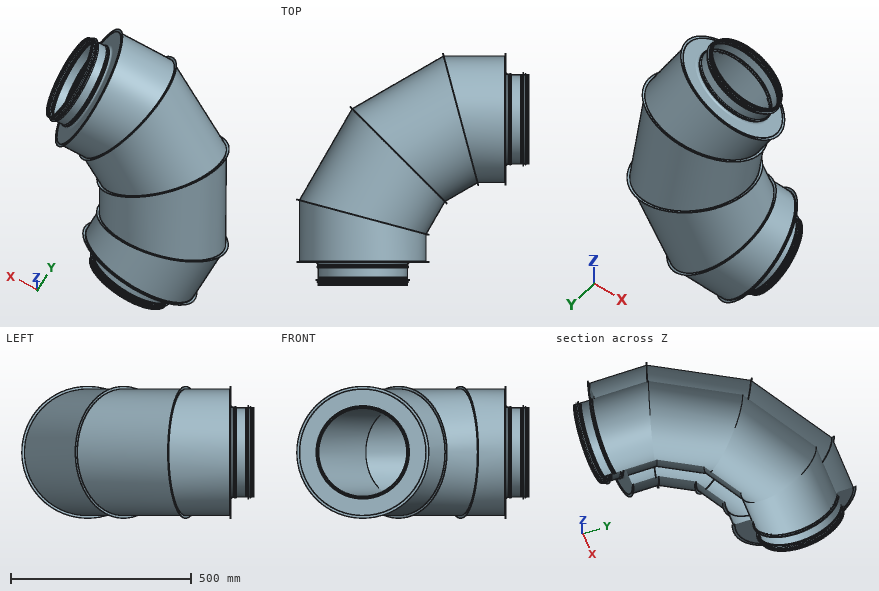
import cadquery as cq
import math


bend_radius = 370.0
joint_angles = (15, 45, 75)
outer_size = 642.0
sheet = 0.5

rim_diameter = 365.0
shell_bore = 350.0
shell_diameter = shell_bore + 2 * sheet
rim_thickness = 2.0

duct_diameter = 248.0
duct_bore = duct_diameter - 2 * sheet

leg_end = outer_size - rim_diameter / 2 - bend_radius
spigot_length = 63.5
shell_end = leg_end - spigot_length

bead_diameter = 253.5
bead_center = 51.5
bead_half_width = 4.0
bead_crown_half_width = 1.0
spigot_start = leg_end - bead_center - bead_half_width
groove_diameter = 244.0
groove_bore = groove_diameter - 2 * sheet
groove_start = 19.0
groove_end = 3.0
groove_taper_start = 23.0

cap_depth = 4.0
collar_foot_diameter = 268.0
collar_neck_diameter = duct_diameter + 2 * sheet
collar_length = 6.5

gasket_start = 17.0
gasket_end = 6.5
gasket_body_diameter = duct_diameter
main_lip_diameter = 258.5
main_lip_width = 2.5
second_lip_diameter = 253.5
second_lip_position = 9.5
second_lip_rise_width = 0.5


def elbow(diameter, end):
    """Solid mitred round bar along the bend, with both legs reaching `end` past the bend centre."""
    corner_radius = bend_radius / math.cos(math.radians(joint_angles[0]))
    corners = [
        (-corner_radius * math.cos(math.radians(a)), corner_radius * math.sin(math.radians(a)))
        for a in joint_angles
    ]
    path = cq.Workplane("XY").polyline([(-bend_radius, -end), *corners, (end, bend_radius)])
    start = cq.Workplane("XZ", origin=(-bend_radius, -end, 0))
    return start.circle(diameter / 2).sweep(path, transition="right")


def on_both_legs(make):
    """Place a body of revolution, made along +X with the bend centre at X = 0, on each leg."""
    x_leg = make().translate((0, bend_radius, 0))
    y_leg = make().rotate((0, 0, 0), (0, 0, 1), -90).translate((-bend_radius, 0, 0))
    return [x_leg, y_leg]


def revolve_on_x(profile):
    """Close a half profile drawn above the X axis and turn it about that axis."""
    return profile.close().revolve(360, (0, 0, 0), (1, 0, 0))


def flange():
    """Outward rim at the end of the shell."""
    return revolve_on_x(
        cq.Workplane("XY")
        .moveTo(shell_end - rim_thickness, shell_bore / 2)
        .lineTo(shell_end, shell_bore / 2)
        .lineTo(shell_end, rim_diameter / 2)
        .lineTo(shell_end - rim_thickness, rim_diameter / 2)
    )


def joint_ribs():
    """Thin raised rims lying in the mitre planes."""
    slab_size = 2 * rim_diameter
    rim_bar = elbow(rim_diameter, shell_end)
    ribs = []
    for angle in joint_angles:
        slab = (
            cq.Workplane("XY")
            .box(slab_size, rim_thickness, slab_size)
            .translate((-bend_radius, 0, 0))
            .rotate((0, 0, 0), (0, 0, 1), -angle)
        )
        ribs.append(rim_bar.intersect(slab))
    return ribs


def make_shell():
    """Segmented outer casing with a rib at each joint and a flange at each end."""
    body = elbow(shell_diameter, shell_end)
    for rim in joint_ribs() + on_both_legs(flange):
        body = body.union(rim)
    return body.cut(elbow(shell_bore, shell_end))


def bead(profile, crown_diameter, foot_diameter, direction):
    """Raised bead in the wall; direction is +1 toward the spigot end, -1 away from it."""
    center = leg_end - bead_center
    foot = direction * bead_half_width
    crown = direction * bead_crown_half_width
    return (
        profile.lineTo(center - foot, foot_diameter / 2)
        .lineTo(center - crown, crown_diameter / 2)
        .lineTo(center + crown, crown_diameter / 2)
        .lineTo(center + foot, foot_diameter / 2)
    )


def spigot():
    """Duct end with a hollow bead and a rolled gasket groove."""
    profile = cq.Workplane("XY").moveTo(spigot_start, duct_bore / 2)
    profile = bead(profile, bead_diameter, duct_diameter, 1)
    profile = (
        profile.lineTo(leg_end - groove_start, duct_diameter / 2)
        .lineTo(leg_end - groove_start, groove_diameter / 2)
        .lineTo(leg_end - groove_end, groove_diameter / 2)
        .lineTo(leg_end - groove_end, duct_diameter / 2)
        .lineTo(leg_end, duct_diameter / 2)
        .lineTo(leg_end, groove_bore / 2)
        .lineTo(leg_end - groove_start - sheet, groove_bore / 2)
        .lineTo(leg_end - groove_taper_start, duct_bore / 2)
    )
    profile = bead(profile, bead_diameter - 2 * sheet, duct_bore, -1)
    return revolve_on_x(profile)


def make_duct():
    """Segmented inner pipe that runs through both caps and ends in two spigots."""
    body = elbow(duct_diameter, spigot_start).cut(elbow(duct_bore, spigot_start))
    for end in on_both_legs(spigot):
        body = body.union(end)
    return body


def make_cap():
    """Sheet metal pan in the shell end: outer sleeve, flat annulus and a collar flared down to the duct."""
    sleeve = shell_bore / 2
    foot = collar_foot_diameter / 2
    neck = collar_neck_diameter / 2
    collar_end = shell_end + collar_length
    arc_reach = math.sqrt(0.5)
    middle_x = collar_end - collar_length * arc_reach
    middle_y = foot - (foot - neck) * arc_reach
    return revolve_on_x(
        cq.Workplane("XY")
        .moveTo(shell_end - cap_depth, sleeve - sheet)
        .lineTo(shell_end - cap_depth, sleeve)
        .lineTo(shell_end, sleeve)
        .lineTo(shell_end, foot)
        .threePointArc((middle_x, middle_y), (collar_end, neck))
        .lineTo(collar_end, neck - sheet)
        .lineTo(collar_end - sheet, neck - sheet)
        .threePointArc((middle_x - sheet, middle_y - sheet), (shell_end - sheet, foot - sheet))
        .lineTo(shell_end - sheet, sleeve - sheet)
    )


def make_gasket():
    """Sealing ring in the spigot groove with a tall lip and a slanted second lip."""
    start = leg_end - gasket_start
    second_lip = leg_end - second_lip_position
    return revolve_on_x(
        cq.Workplane("XY")
        .moveTo(start, groove_diameter / 2)
        .lineTo(start, main_lip_diameter / 2)
        .lineTo(start + main_lip_width, main_lip_diameter / 2)
        .lineTo(start + main_lip_width, gasket_body_diameter / 2)
        .lineTo(second_lip - second_lip_rise_width, gasket_body_diameter / 2)
        .lineTo(second_lip, second_lip_diameter / 2)
        .lineTo(leg_end - gasket_end, gasket_body_diameter / 2)
        .lineTo(leg_end - gasket_end, groove_diameter / 2)
    )


shell = make_shell()
duct = make_duct()
caps = on_both_legs(make_cap)
gaskets = on_both_legs(make_gasket)

result = cq.Compound.makeCompound([
    shell.val(),
    duct.val(),
    *[cap.val() for cap in caps],
    *[gasket.val() for gasket in gaskets],
])